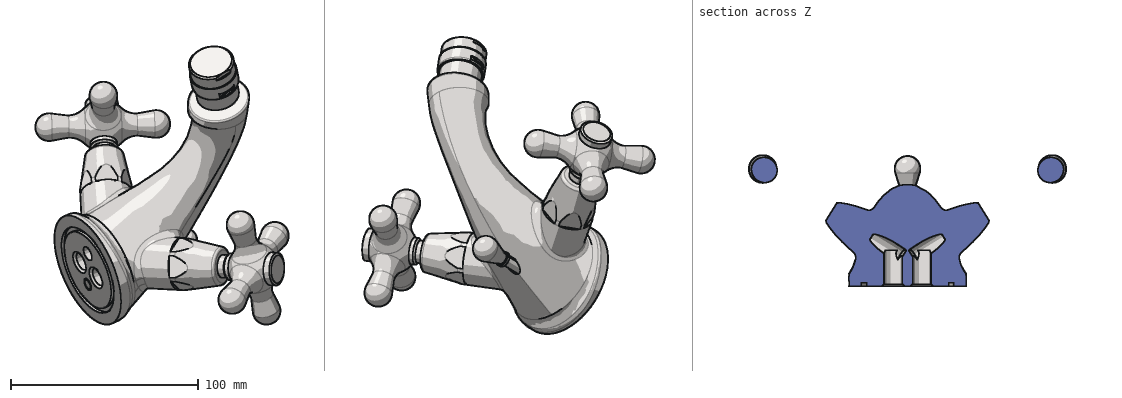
import cadquery as cq
import math


RIM_RADIUS = 31.4
RIM_ROUND = 3.0
RIM_SECTIONS = [
    (0, 36.5, 35.1),
    (2.8, 34.7, 32.7),
    (5.5, 32.7, 29.3),
    (7.3, 31.0, 27.6),
    (10.3, 29.3, 26.9),
]

SPOUT_SECTIONS = [
    (10.3, 0.0, 0, 29.3, 26.9),
    (26.7, 7.0, 23, 25.0, 22.8),
    (44.3, 16.8, 35, 20.5, 19.6),
    (59.5, 27.3, 48, 15.9, 16.0),
    (71.5, 38.1, 58, 13.5, 13.5),
    (81.8, 54.5, 72, 14.0, 12.5),
    (84.6, 65.7, 83, 15.5, 14.0),
    (84.2, 71.9, 90, 16.2, 15.9),
]
OUTLET_TILT = 10
OUTLET_Y = 85.0
OUTLET_Z = 79.0
OUTLET_RADIUS = 16.6
OUTLET_ROUND = 1.0

STEM_RADIUS = 5.0
STEM_LENGTH = 3.2
STEM_DEPTH = 1.9
BARREL_RADIUS = 11.4
COLLAR_START = 12.3
COLLAR_RADIUS = 12.7
COLLAR_EDGE_RADIUS = 12.3
COLLAR_EDGE = 1.3
COLLAR_END = 21.0
CROWN_RADIUS = 12.1
CROWN_EDGE_RADIUS = 11.2
CROWN_EDGE = 1.0
AERATOR_LENGTH = 29.0
FLAT_WIDTH = 9.7
FLAT_HEIGHT = 2.6
FLAT_DISTANCE = 11.2

HUB_X = 70.8
HUB_Y = 58.6
HUB_Z = 23.0
VALVE_AZIMUTH = 32
VALVE_RISE = 15.4
GRIP_COUNT = 4
BALL_RADIUS = 7.5
BALL_DISTANCE = 28.5
NECK_RADIUS = 6.0
NECK_DISTANCE = 18.3
FLARE_RADIUS = 12.0
FLARE_CENTRE_RADIUS = NECK_RADIUS + FLARE_RADIUS
HUB_RADIUS = math.hypot(NECK_DISTANCE, FLARE_CENTRE_RADIUS) - FLARE_RADIUS
CAP_RADIUS = 8.8
CAP_EDGE = 14.0
CAP_TOP = 14.5
CAP_TOP_RADIUS = 7.5

HUB_COLLAR_RADIUS = 7.3
HUB_COLLAR_END = 13.8
HUB_COLLAR_BEVEL = 1.1
SPINDLE_RADIUS = 6.2
COVER_FRONT = 18.7
COVER_FRONT_RADIUS = 10.3
COVER_ROUND = 1.7
COVER_CONE_END = 41.0
VALVE_ARM_RADIUS = 14.0
COVER_BACK = 44.0
COVER_FLATS = 6
COVER_FLAT_DISTANCE = 12.7
VALVE_ARM_FILLET = 3.7
ARM_ROOT_MIN_X = 17.7

SEAL_GROOVE_OUTER = 24.7
SEAL_GROOVE_INNER = 22.0
SEAL_GROOVE_DEPTH = 1.9
INLET_X = 7.7
INLET_RADIUS = 4.9
INLET_MOUTH_RADIUS = 6.2
INLET_PASSAGE_RADIUS = 4.0
INLET_PASSAGE_BACK = 5.6
INLET_PASSAGE_LENGTH = 18.7
FIXING_HOLE_Z = 11.5
FIXING_HOLE_RADIUS = 4.0
FIXING_HOLE_DEPTH = 15.0

ROD_Z = -10.0
ROD_RADIUS = 2.6
ROD_HOLE_RADIUS = 3.4
RING_START = 48.4
RING_END = 49.9
RING_RADIUS = 4.1
KNOB_NECK_RADIUS = 3.2
KNOB_RADIUS = 7.0
KNOB_TIP = 69.7

FRONT_PLANE = cq.Plane(origin=(0, 0, 0), xDir=(1, 0, 0), normal=(0, 1, 0))


def direction(azimuth, rise):
    a = math.radians(azimuth)
    r = math.radians(rise)
    return cq.Vector(math.cos(a) * math.cos(r), math.sin(a) * math.cos(r), math.sin(r))


def disc(plane, radius, start, end):
    return cq.Workplane(plane).workplane(offset=start).circle(radius).extrude(end - start)


def ellipse_wire(y, z, lean, half_x, half_height):
    """Section leaning back by `lean` degrees from the vertical XZ plane."""
    a = math.radians(lean)
    normal = cq.Vector(0, math.cos(a), math.sin(a))
    return cq.Wire.makeEllipse(
        half_x, half_height, cq.Vector(0, y, z), normal, cq.Vector(1, 0, 0)
    )


def loft(wires, ruled=False):
    return cq.Workplane(cq.Solid.makeLoft(wires, ruled))


def tangent_point(px, pr, cx, radius):
    """Point where the line from (px, pr) touches the far side of the circle at (cx, 0)."""
    to_centre = math.atan2(-pr, cx - px)
    angle = to_centre + math.asin(radius / math.hypot(cx - px, pr))
    return cx - radius * math.sin(angle), radius * math.cos(angle)


outlet_plane = cq.Plane(
    origin=(0, OUTLET_Y, OUTLET_Z), xDir=(1, 0, 0), normal=direction(-90, 90 - OUTLET_TILT).toTuple()
)


def make_rim():
    flare = loft([ellipse_wire(y, 0, 0, hx, hz) for y, hx, hz in RIM_SECTIONS])
    rim = flare.intersect(disc(FRONT_PLANE, RIM_RADIUS, 0, RIM_SECTIONS[-1][0]))
    return rim.edges("%BSPLINE and (not >Y)").fillet(RIM_ROUND)


def make_spout():
    spout = loft([ellipse_wire(*section) for section in SPOUT_SECTIONS])
    outlet_wire = ellipse_wire(OUTLET_Y, OUTLET_Z, 90 + OUTLET_TILT, OUTLET_RADIUS, OUTLET_RADIUS)
    lip = loft([ellipse_wire(*SPOUT_SECTIONS[-1]), outlet_wire], ruled=True)
    lip = lip.faces(">Z").edges().fillet(OUTLET_ROUND)
    return spout.union(lip)


def make_aerator():
    profile = [
        (0, -STEM_DEPTH),
        (STEM_RADIUS, -STEM_DEPTH),
        (STEM_RADIUS, STEM_LENGTH),
        (BARREL_RADIUS, STEM_LENGTH),
        (BARREL_RADIUS, COLLAR_START),
        (COLLAR_EDGE_RADIUS, COLLAR_START),
        (COLLAR_RADIUS, COLLAR_START + COLLAR_EDGE),
        (COLLAR_RADIUS, COLLAR_END),
        (CROWN_RADIUS, COLLAR_END),
        (CROWN_RADIUS, AERATOR_LENGTH - CROWN_EDGE),
        (CROWN_EDGE_RADIUS, AERATOR_LENGTH),
        (0, AERATOR_LENGTH),
    ]
    aerator = cq.Workplane("XZ").polyline(profile).close().revolve(360, (0, 0), (0, 1))
    for side in (-1, 1):
        for bottom in (COLLAR_START + COLLAR_EDGE, AERATOR_LENGTH - FLAT_HEIGHT):
            notch = cq.Workplane().box(
                FLAT_DISTANCE, FLAT_WIDTH, FLAT_HEIGHT, centered=(True, True, False)
            )
            aerator = aerator.cut(notch.translate((side * 1.5 * FLAT_DISTANCE, 0, bottom)))
    return cq.Workplane(aerator.val().moved(cq.Location(outlet_plane)))


valve_axis = direction(VALVE_AZIMUTH, VALVE_RISE)
hub_centre = cq.Vector(HUB_X, HUB_Y, HUB_Z)
valve_reach = HUB_X / valve_axis.x
valve_plane = cq.Plane(
    origin=hub_centre.toTuple(),
    xDir=direction(VALVE_AZIMUTH - 90, 0).toTuple(),
    normal=valve_axis.toTuple(),
)


def make_valve_arm():
    return disc(cq.Plane.XY(), VALVE_ARM_RADIUS, -valve_reach, -COVER_BACK)


def make_cover():
    profile = [
        (0, -COVER_BACK),
        (VALVE_ARM_RADIUS, -COVER_BACK),
        (VALVE_ARM_RADIUS, -COVER_CONE_END),
        (COVER_FRONT_RADIUS, -COVER_FRONT),
        (0, -COVER_FRONT),
    ]
    cover = cq.Workplane("XZ").polyline(profile).close().revolve(360, (0, 0), (0, 1))
    cover = cover.faces(">Z").edges().fillet(COVER_ROUND)
    corner_diameter = 2 * COVER_FLAT_DISTANCE / math.cos(math.pi / COVER_FLATS)
    hexagon = cq.Workplane().polygon(COVER_FLATS, corner_diameter).extrude(-COVER_BACK)
    return cover.intersect(hexagon)


def make_grip():
    """One ball-ended grip along +X, flaring into the hub sphere."""
    tangent_x, tangent_r = tangent_point(NECK_DISTANCE, NECK_RADIUS, BALL_DISTANCE, BALL_RADIUS)
    flare_angle = math.atan2(FLARE_CENTRE_RADIUS, NECK_DISTANCE)
    middle_angle = (flare_angle + math.pi / 2) / 2
    flare_middle = (
        NECK_DISTANCE - FLARE_RADIUS * math.cos(middle_angle),
        FLARE_CENTRE_RADIUS - FLARE_RADIUS * math.sin(middle_angle),
    )
    ball_middle = (
        BALL_DISTANCE + BALL_RADIUS * math.cos(math.pi / 4),
        BALL_RADIUS * math.sin(math.pi / 4),
    )
    return (
        cq.Workplane("XZ")
        .lineTo(HUB_RADIUS * math.cos(flare_angle), HUB_RADIUS * math.sin(flare_angle))
        .threePointArc(flare_middle, (NECK_DISTANCE, NECK_RADIUS))
        .lineTo(tangent_x, tangent_r)
        .threePointArc(ball_middle, (BALL_DISTANCE + BALL_RADIUS, 0))
        .close()
        .revolve(360, (0, 0), (1, 0))
    )


def make_handle():
    grip = make_grip()
    handle = cq.Workplane().sphere(HUB_RADIUS)
    for i in range(GRIP_COUNT):
        handle = handle.union(grip.rotate((0, 0, 0), (0, 0, 1), i * 360 / GRIP_COUNT))
    spindle = [
        (0, -COVER_FRONT),
        (SPINDLE_RADIUS, -COVER_FRONT),
        (SPINDLE_RADIUS, -HUB_COLLAR_END - HUB_COLLAR_BEVEL),
        (HUB_COLLAR_RADIUS, -HUB_COLLAR_END),
        (HUB_COLLAR_RADIUS, 0),
        (CAP_RADIUS, 0),
        (CAP_RADIUS, CAP_EDGE),
        (CAP_TOP_RADIUS, CAP_TOP),
        (0, CAP_TOP),
    ]
    core = cq.Workplane("XZ").polyline(spindle).close().revolve(360, (0, 0), (0, 1))
    return handle.union(core)


def both_sides(shape):
    """Place a shape built on the valve axis at the +X valve, and its mirror image at the other."""
    right = cq.Workplane(shape.val().moved(cq.Location(valve_plane)))
    return right, right.mirror("YZ")


def is_arm_root(edge):
    """True for the curves where the valve arms leave the spout, which lie off centre beyond the rim."""
    centre = edge.Center()
    beyond_rim = centre.y > RIM_SECTIONS[-1][0] + 1.9
    return beyond_rim and ARM_ROOT_MIN_X < abs(centre.x) < RIM_RADIUS


def make_housing():
    housing = make_rim().union(make_spout())
    for arm in both_sides(make_valve_arm()):
        housing = housing.union(arm)
    housing = housing.edges("%BSPLINE").filter(is_arm_root).fillet(VALVE_ARM_FILLET)
    for upper in both_sides(make_cover().union(make_handle())):
        housing = housing.union(upper)
    housing = housing.union(make_aerator())
    return housing


def cut_seal_groove(housing):
    groove = disc(FRONT_PLANE, SEAL_GROOVE_OUTER, 0, SEAL_GROOVE_DEPTH)
    return housing.cut(groove.cut(disc(FRONT_PLANE, SEAL_GROOVE_INNER, 0, SEAL_GROOVE_DEPTH)))


def make_inlet():
    """Water inlet of the +X valve: a countersunk bore ending in a passage along the valve axis."""
    depth = HUB_Y - (HUB_X - INLET_X) * valve_axis.y / valve_axis.x
    passage_start = cq.Vector(INLET_X, depth, 0) - valve_axis * INLET_PASSAGE_BACK
    bore = [
        (0, 0),
        (INLET_MOUTH_RADIUS, 0),
        (INLET_RADIUS, INLET_MOUTH_RADIUS - INLET_RADIUS),
        (INLET_RADIUS, depth),
        (0, depth),
    ]
    inlet = cq.Workplane("XY").polyline(bore).close().revolve(360, (0, 0), (0, 1))
    inlet = inlet.translate((INLET_X, 0, 0))
    passage = cq.Solid.makeCylinder(
        INLET_PASSAGE_RADIUS, INLET_PASSAGE_LENGTH, passage_start, valve_axis
    )
    return inlet.union(cq.Workplane(passage))


def cut_inlets(housing):
    inlet = make_inlet()
    return housing.cut(inlet).cut(inlet.mirror("YZ"))


def cut_fixing_hole(housing):
    """Blind hole with a half-round bottom whose axis runs along X."""
    hole = disc(FRONT_PLANE, FIXING_HOLE_RADIUS, 0, FIXING_HOLE_DEPTH + FIXING_HOLE_RADIUS)
    bottom = disc(cq.Plane.YZ(), FIXING_HOLE_RADIUS, -FIXING_HOLE_RADIUS, FIXING_HOLE_RADIUS)
    bottom = bottom.translate((0, FIXING_HOLE_DEPTH, 0))
    straight = disc(FRONT_PLANE, FIXING_HOLE_RADIUS, 0, FIXING_HOLE_DEPTH)
    hole = straight.union(hole.intersect(bottom))
    return housing.cut(hole.translate((0, 0, FIXING_HOLE_Z)))


def cut_rod_hole(housing):
    hole = disc(FRONT_PLANE, ROD_HOLE_RADIUS, 0, KNOB_TIP)
    return housing.cut(hole.translate((0, 0, ROD_Z)))


def make_lift_rod():
    ball_y = KNOB_TIP - KNOB_RADIUS
    tangent_y, tangent_r = tangent_point(RING_END, KNOB_NECK_RADIUS, ball_y, KNOB_RADIUS)
    ball_middle = (KNOB_RADIUS * math.sin(math.pi / 4), ball_y + KNOB_RADIUS * math.cos(math.pi / 4))
    rod = (
        cq.Workplane("XY")
        .lineTo(ROD_RADIUS, 0)
        .lineTo(ROD_RADIUS, RING_START)
        .lineTo(RING_RADIUS, RING_START)
        .lineTo(RING_RADIUS, RING_END)
        .lineTo(KNOB_NECK_RADIUS, RING_END)
        .lineTo(tangent_r, tangent_y)
        .threePointArc(ball_middle, (0, KNOB_TIP))
        .close()
        .revolve(360, (0, 0), (0, 1))
    )
    return rod.translate((0, 0, ROD_Z))


housing = make_housing()
for cut_feature in (cut_seal_groove, cut_inlets, cut_fixing_hole, cut_rod_hole):
    housing = cut_feature(housing)
lift_rod = make_lift_rod()
result = cq.Compound.makeCompound([housing.val(), lift_rod.val()])